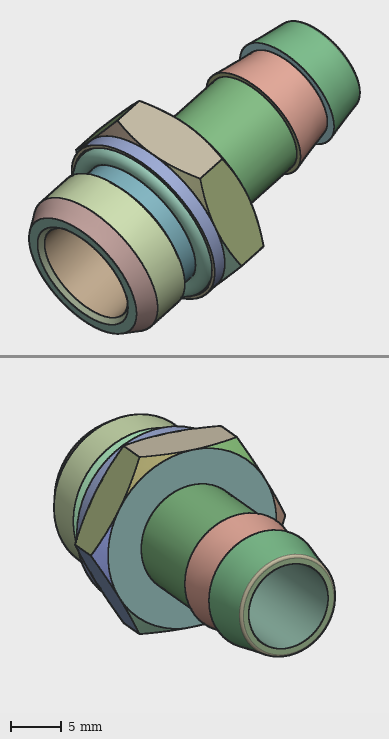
import cadquery as cq
import math

total_length = 35.5

barb_count = 2
barb_length = 5.0
barb_radius = 6.25
barb_angle = 10.0
stem_radius = 5.75
tip_round = 0.32
barb_root_radius = barb_radius - barb_length * math.tan(math.radians(barb_angle))
barbs_start = total_length - barb_count * barb_length

hex_flats = 19.0
hex_start = 10.5
hex_width = 5.0
hex_end = hex_start + hex_width
hex_corners = hex_flats / math.cos(math.radians(30))

bevel_slope = math.tan(math.radians(30))
collar_radius = hex_flats / 2
collar_width = 1.5
collar_face = hex_start - collar_width
thread_radius = 8.25
thread_end = 5.95
thread_tip_radius = 7.15
thread_bevel_length = 1.9
neck_radius = 7.25
neck_start = thread_end + (thread_radius - neck_radius) * bevel_slope

seal_section_radius = 0.9
seal_center_radius = neck_radius + seal_section_radius
groove_outer_radius = 9.12
groove_floor = collar_face + seal_section_radius

bore_radius = 4.47
wide_bore_radius = 5.5
mouth_radius = 6.0
wide_bore_end = hex_start
mouth_depth = mouth_radius - wide_bore_radius
step_depth = (wide_bore_radius - bore_radius) * bevel_slope


def revolve_about_y(profile):
    return profile.close().revolve(360, (0, 0, 0), (0, 1, 0))


def make_threaded_end():
    """Threaded plug, undercut neck and collar with the seal groove."""
    profile = cq.Workplane("XY").polyline([
        (0, 0),
        (thread_tip_radius, 0),
        (thread_radius, thread_bevel_length),
        (thread_radius, thread_end),
        (neck_radius, neck_start),
        (neck_radius, groove_floor),
        (groove_outer_radius, groove_floor),
        (groove_outer_radius, collar_face),
        (collar_radius, collar_face),
        (collar_radius, hex_start),
        (0, hex_start),
    ])
    return revolve_about_y(profile)


def make_hexagon():
    """Hexagon with its corners bevelled by a cone on both faces."""
    prism = (
        cq.Workplane("XZ", origin=(0, hex_start, 0))
        .polygon(6, hex_corners)
        .extrude(-hex_width)
    )
    corner_radius = hex_corners / 2
    bevel_length = (corner_radius - collar_radius) * bevel_slope
    envelope = cq.Workplane("XY").polyline([
        (0, hex_start),
        (collar_radius, hex_start),
        (corner_radius, hex_start + bevel_length),
        (corner_radius, hex_end - bevel_length),
        (collar_radius, hex_end),
        (0, hex_end),
    ])
    return prism.intersect(revolve_about_y(envelope))


def make_stem():
    profile = cq.Workplane("XY").polyline([
        (0, hex_end),
        (stem_radius, hex_end),
        (stem_radius, barbs_start),
        (0, barbs_start),
    ])
    return revolve_about_y(profile)


def make_barb(start):
    profile = cq.Workplane("XY").polyline([
        (0, start),
        (barb_radius, start),
        (barb_root_radius, start + barb_length),
        (0, start + barb_length),
    ])
    return revolve_about_y(profile)


def make_bore():
    profile = cq.Workplane("XY").polyline([
        (0, 0),
        (mouth_radius, 0),
        (wide_bore_radius, mouth_depth),
        (wide_bore_radius, wide_bore_end),
        (bore_radius, wide_bore_end + step_depth),
        (bore_radius, total_length),
        (0, total_length),
    ])
    return revolve_about_y(profile)


def make_housing():
    body = make_threaded_end().union(make_hexagon()).union(make_stem())
    for index in range(barb_count):
        body = body.union(make_barb(barbs_start + index * barb_length))
    body = body.faces(">Y").edges().fillet(tip_round)
    return body.cut(make_bore())


def make_seal_ring():
    section = cq.Workplane("XY").center(seal_center_radius, collar_face).circle(seal_section_radius)
    return section.revolve(360, (-seal_center_radius, 0, 0), (-seal_center_radius, 1, 0))


housing = make_housing()
seal_ring = make_seal_ring()

result = cq.Compound.makeCompound([housing.val(), seal_ring.val()])